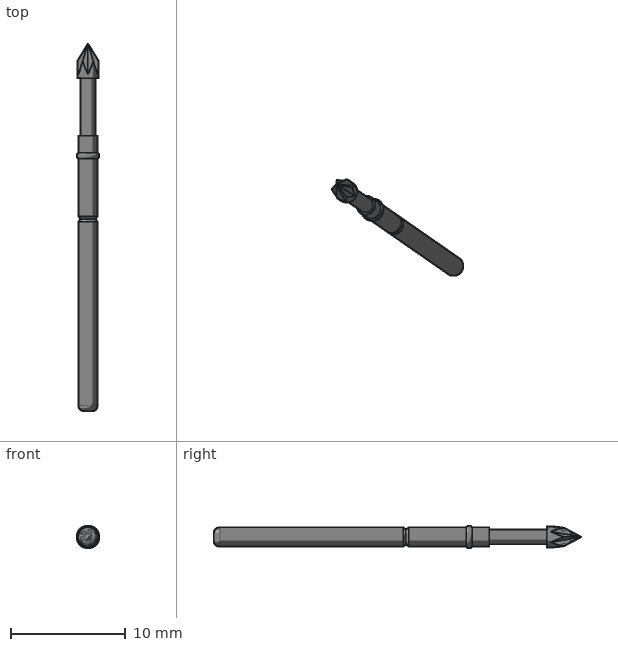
import cadquery as cq
import math

total_length = 32.0
tip_y = total_length / 2
tail_y = -total_length / 2

head_radius = 0.93
head_length = 3.0
ridge_length = 1.5
valley_length = 2.62
ridge_count = 6

shaft_radius = 1.3 / 2

sleeve_length = 24.0
sleeve_radius = 1.7 / 2
ring_radius = 1.0
ring_start = 9.5
ring_width = 0.5
groove_center = 15.25
groove_width = 0.5
groove_floor_radius = 0.67
tail_rounding = 0.5


def cylinder(radius, start_y, length):
    """Round bar on the Y axis from start_y, running toward -Y."""
    return cq.Workplane("XZ", origin=(0, start_y, 0)).circle(radius).extrude(length)


def star_pyramid():
    """Star-based pyramid whose apex is the tip and whose base closes the head."""
    apex = cq.Vector(0, tip_y, 0)
    base_y = tip_y - head_length
    ridge_radius = head_radius * head_length / ridge_length
    valley_radius = head_radius * head_length / valley_length
    corner_count = 2 * ridge_count
    corners = []
    for i in range(corner_count):
        radius = valley_radius if i % 2 else ridge_radius
        angle = 2 * math.pi * i / corner_count
        corners.append(cq.Vector(radius * math.cos(angle), base_y, radius * math.sin(angle)))

    faces = [cq.Face.makeFromWires(cq.Wire.makePolygon(corners, close=True))]
    for i, corner in enumerate(corners):
        outline = cq.Wire.makePolygon([apex, corner, corners[i - 1]], close=True)
        faces.append(cq.Face.makeFromWires(outline))
    return cq.Workplane(cq.Solid.makeSolid(cq.Shell.makeShell(faces)))


def head():
    """Ridges and valleys that meet at the tip, trimmed to the round head."""
    return cylinder(head_radius, tip_y, head_length).intersect(star_pyramid())


def shaft():
    """Plain shaft from the back of the head to the front of the sleeve."""
    front_y = tip_y - head_length
    return cylinder(shaft_radius, front_y, front_y - tail_y - sleeve_length)


def crimp_groove():
    """V-section groove around the sleeve."""
    center_y = tip_y - groove_center
    half_width = groove_width / 2
    return (
        cq.Workplane("XY")
        .moveTo(sleeve_radius, center_y + half_width)
        .lineTo(groove_floor_radius, center_y)
        .lineTo(sleeve_radius, center_y - half_width)
        .close()
        .revolve(360, (0, 0, 0), (0, 1, 0))
    )


def press_ring():
    """Ring around the sleeve with an arc-shaped outer surface."""
    front_y = tip_y - ring_start
    return (
        cq.Workplane("XY")
        .moveTo(0, front_y)
        .lineTo(sleeve_radius, front_y)
        .threePointArc((ring_radius, front_y - ring_width / 2), (sleeve_radius, front_y - ring_width))
        .lineTo(0, front_y - ring_width)
        .close()
        .revolve(360, (0, 0, 0), (0, 1, 0))
    )


def sleeve():
    """Sleeve with its tail edge rounded, a press ring and a crimp groove."""
    tube = cylinder(sleeve_radius, tail_y + sleeve_length, sleeve_length)
    tube = tube.faces("<Y").edges().fillet(tail_rounding)
    return tube.union(press_ring()).cut(crimp_groove())


result = head().union(shaft()).union(sleeve())